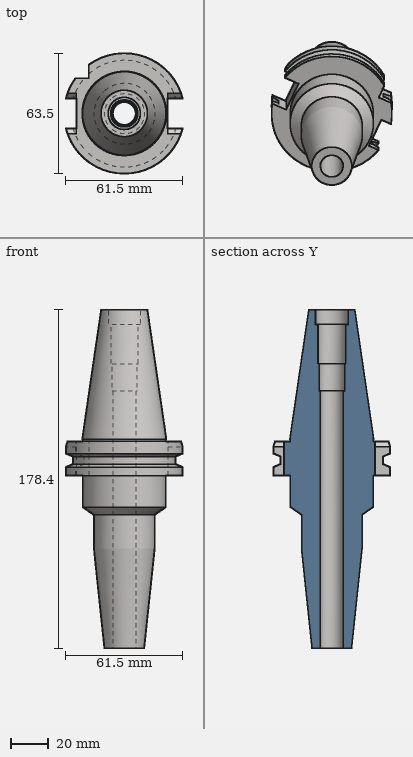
import cadquery as cq

total_height = 178.4
gauge_z = 110.0
flange_top_z = 109.0
flange_bottom_z = 91.0
groove_mid_z = 99.0
body_bottom_z = 74.4
shoulder_bottom_z = 70.3
nose_top_z = 52.5

taper_small_dia = 24.5
gauge_dia = 44.5
flange_dia = 63.5
body_dia = 43.9
neck_dia = 32.1
nose_end_dia = 21.0

groove_floor_dia = 56.4
groove_opening = 7.1
groove_floor_width = 4.0

slot_width = 15.7
slot_chamfer = 2.9
left_slot_floor = 25.2
right_slot_floor = 22.8
notch_x = 18.7
notch_y = 18.5

entry_bore_dia = 17.0
entry_bore_depth = 7.8
middle_bore_dia = 14.3
middle_bore_depth = 28.5
lower_bore_dia = 13.2
lower_bore_depth = 42.8
through_bore_dia = 12.0


def make_turned_body():
    """Revolve the outer profile about Z."""
    flange_r = flange_dia / 2
    floor_r = groove_floor_dia / 2
    body_r = body_dia / 2
    neck_r = neck_dia / 2
    profile = [
        (0, 0),
        (nose_end_dia / 2, 0),
        (neck_r, nose_top_z),
        (neck_r, shoulder_bottom_z),
        (body_r, body_bottom_z),
        (body_r, flange_bottom_z),
        (flange_r, flange_bottom_z),
        (flange_r, groove_mid_z - groove_opening / 2),
        (floor_r, groove_mid_z - groove_floor_width / 2),
        (floor_r, groove_mid_z + groove_floor_width / 2),
        (flange_r, groove_mid_z + groove_opening / 2),
        (flange_r, flange_top_z),
        (body_r, flange_top_z),
        (body_r, gauge_z),
        (gauge_dia / 2, gauge_z),
        (taper_small_dia / 2, total_height),
        (0, total_height),
    ]
    return cq.Workplane("XZ").polyline(profile).close().revolve(360, (0, 0), (0, 1))


def make_drive_slot(side, floor):
    """Slot across the rim on one side (-1 or +1), chamfered at its top edges."""
    half = slot_width / 2
    section = [
        (-half, flange_bottom_z),
        (half, flange_bottom_z),
        (half, flange_top_z - slot_chamfer),
        (half + slot_chamfer, flange_top_z),
        (-half - slot_chamfer, flange_top_z),
        (-half, flange_top_z - slot_chamfer),
    ]
    return (
        cq.Workplane("YZ", origin=(side * floor, 0, 0))
        .polyline(section)
        .close()
        .extrude(side * flange_dia / 2)
    )


def make_notch():
    """Square corner notch at -X, +Y through the full flange."""
    size = flange_dia / 2
    return (
        cq.Workplane("XY", origin=(-notch_x, notch_y, flange_bottom_z))
        .rect(-size, size, centered=False)
        .extrude(flange_top_z - flange_bottom_z)
    )


def make_bore(diameter, depth):
    """Cylinder reaching down from the taper end."""
    return (
        cq.Workplane("XY", origin=(0, 0, total_height - depth))
        .circle(diameter / 2)
        .extrude(depth)
    )


result = make_turned_body()
result = result.cut(make_drive_slot(-1, left_slot_floor))
result = result.cut(make_drive_slot(1, right_slot_floor))
result = result.cut(make_notch())
result = result.cut(make_bore(entry_bore_dia, entry_bore_depth))
result = result.cut(make_bore(middle_bore_dia, middle_bore_depth))
result = result.cut(make_bore(lower_bore_dia, lower_bore_depth))
result = result.cut(make_bore(through_bore_dia, total_height))